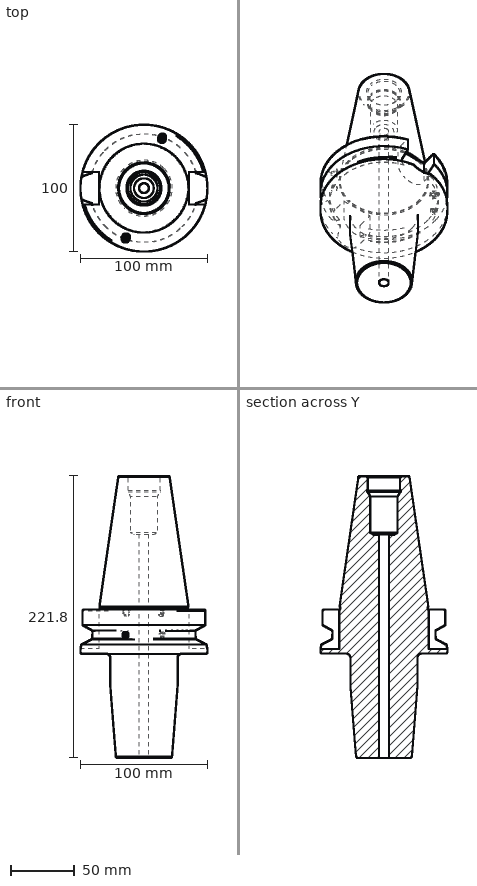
import cadquery as cq
import math

total_height = 221.8
gauge_height = 120.0
flange_top = 117.0
flange_bottom = 82.0

gauge_radius = 35.0
taper_slope = 7 / 48
shank_top_radius = gauge_radius - (total_height - gauge_height) * taper_slope
shank_chamfer = 0.7
relief_radius = 34.4
relief_top = 119.0
relief_bevel = gauge_radius - relief_radius

flange_diameter = 100.0
flange_radius = flange_diameter / 2
flange_top_round = 1.5
flange_bottom_round = 1.3
groove_radius = 42.5
groove_middle = 97.0
groove_floor_half = 3.3
groove_corner_round = 0.7
flank_slope_degrees = 30.0
flank_slope = math.radians(flank_slope_degrees)
groove_flank_height = (flange_radius - groove_radius) * math.tan(flank_slope)
groove_mouth_half = groove_floor_half + groove_flank_height

nose_radius = 26.6
nose_tip_radius = 22.2
nose_cone_top = 57.2
nose_fillet = 3.0
tip_chamfer = 1.0

mouth_chamfer = 1.0
socket_radius = 12.6
socket_depth = 11.0
undercut_radius = 13.0
undercut_width = 1.3
thread_radius = 10.6
thread_depth = 44.4
socket_floor_radius = 7.8
seat_angle = 60.0
end_cone_angle = 30.0
passage_radius = 3.8

slot_width = 25.7
slot_floor = 35.3
slot_bottom = 86.0

screw_angle = 70.0
screw_pitch_radius = 42.0
screw_tilt = 30.0
screw_radius = 3.0
screw_depth = 2.2
screw_hex_radius = 2.0
hex_depth = 3.3
plug_radius = 2.5
plug_depth = 0.7
plug_hex_radius = 1.5


def body():
    """Shank, flange and nose as one turned profile."""
    groove_bottom = groove_middle - groove_floor_half
    groove_top = groove_middle + groove_floor_half
    corner_setback = groove_corner_round * math.tan((math.pi / 2 - flank_slope) / 2)
    flank_setback = corner_setback * math.cos(flank_slope)
    flank_setback_height = corner_setback * math.sin(flank_slope)
    return (
        cq.Workplane("XZ")
        .moveTo(0, 0)
        .lineTo(nose_tip_radius - tip_chamfer, 0)
        .lineTo(nose_tip_radius, tip_chamfer)
        .lineTo(nose_radius, nose_cone_top)
        .lineTo(nose_radius, flange_bottom - nose_fillet)
        .radiusArc((nose_radius + nose_fillet, flange_bottom), nose_fillet)
        .lineTo(flange_radius - flange_bottom_round, flange_bottom)
        .radiusArc((flange_radius, flange_bottom + flange_bottom_round), -flange_bottom_round)
        .lineTo(flange_radius, groove_middle - groove_mouth_half)
        .lineTo(groove_radius + flank_setback, groove_bottom - flank_setback_height)
        .radiusArc((groove_radius, groove_bottom + corner_setback), groove_corner_round)
        .lineTo(groove_radius, groove_top - corner_setback)
        .radiusArc((groove_radius + flank_setback, groove_top + flank_setback_height), groove_corner_round)
        .lineTo(flange_radius, groove_middle + groove_mouth_half)
        .lineTo(flange_radius, flange_top - flange_top_round)
        .radiusArc((flange_radius - flange_top_round, flange_top), -flange_top_round)
        .lineTo(gauge_radius, flange_top)
        .lineTo(relief_radius, flange_top + relief_bevel)
        .lineTo(relief_radius, relief_top - relief_bevel)
        .lineTo(gauge_radius, relief_top)
        .lineTo(gauge_radius, gauge_height)
        .lineTo(shank_top_radius + shank_chamfer * taper_slope, total_height - shank_chamfer)
        .lineTo(shank_top_radius - shank_chamfer, total_height)
        .lineTo(0, total_height)
        .close()
        .revolve(360, (0, 0, 0), (0, 1, 0))
    )


def drawbar_socket():
    """Stepped bore in the shank end, and the passage through the part."""
    shoulder = total_height - socket_depth
    seat_top = shoulder - undercut_width
    seat_height = (socket_radius - thread_radius) * math.tan(math.radians(seat_angle))
    thread_top = seat_top - seat_height
    thread_bottom = total_height - thread_depth
    end_cone_height = (thread_radius - socket_floor_radius) * math.tan(math.radians(end_cone_angle))
    socket_floor = thread_bottom - end_cone_height
    return (
        cq.Workplane("XZ")
        .moveTo(0, 0)
        .lineTo(passage_radius, 0)
        .lineTo(passage_radius, socket_floor)
        .lineTo(socket_floor_radius, socket_floor)
        .lineTo(thread_radius, thread_bottom)
        .lineTo(thread_radius, thread_top)
        .lineTo(socket_radius, seat_top)
        .lineTo(undercut_radius, seat_top)
        .lineTo(undercut_radius, shoulder)
        .lineTo(socket_radius, shoulder)
        .lineTo(socket_radius, total_height - mouth_chamfer)
        .lineTo(socket_radius + mouth_chamfer, total_height)
        .lineTo(0, total_height)
        .close()
        .revolve(360, (0, 0, 0), (0, 1, 0))
    )


def drive_slot(side):
    """Round-ended slot across the flange; side is +1 or -1 along X."""
    round_center = slot_bottom + slot_width / 2
    return (
        cq.Workplane("YZ", origin=(side * slot_floor, 0, 0))
        .moveTo(-slot_width / 2, flange_top)
        .lineTo(-slot_width / 2, round_center)
        .threePointArc((0, slot_bottom), (slot_width / 2, round_center))
        .lineTo(slot_width / 2, flange_top)
        .close()
        .extrude(side * flange_radius)
    )


def screw_recess(entry, direction, radius, depth, hex_radius):
    """Round recess along direction with a hexagon socket in its floor."""
    clearance = radius
    start = entry - direction * clearance
    recess = cq.Workplane(obj=cq.Solid.makeCylinder(radius, clearance + depth, start, direction))
    sideways = direction.cross(cq.Vector(0, 0, 1))
    hex_corner = sideways.cross(direction)
    floor = cq.Plane(origin=entry + direction * depth, xDir=hex_corner, normal=direction)
    hexagon = cq.Workplane(floor).polygon(6, 2 * hex_radius).extrude(hex_depth)
    return recess.union(hexagon)


def coolant_holes(angle):
    """Inclined screw in the flange top and radial plug in the groove."""
    outward = cq.Vector(math.cos(math.radians(angle)), math.sin(math.radians(angle)), 0)
    tilt = math.radians(screw_tilt)
    down = outward * -math.sin(tilt) + cq.Vector(0, 0, -math.cos(tilt))
    entry = outward * screw_pitch_radius + cq.Vector(0, 0, flange_top)
    groove_entry = outward * groove_radius + cq.Vector(0, 0, groove_middle)
    inclined = screw_recess(entry, down, screw_radius, screw_depth, screw_hex_radius)
    radial = screw_recess(groove_entry, outward * -1, plug_radius, plug_depth, plug_hex_radius)
    return inclined.union(radial)


result = body().cut(drawbar_socket())
for side in (1, -1):
    result = result.cut(drive_slot(side))
for angle in (screw_angle, screw_angle + 180):
    result = result.cut(coolant_holes(angle))